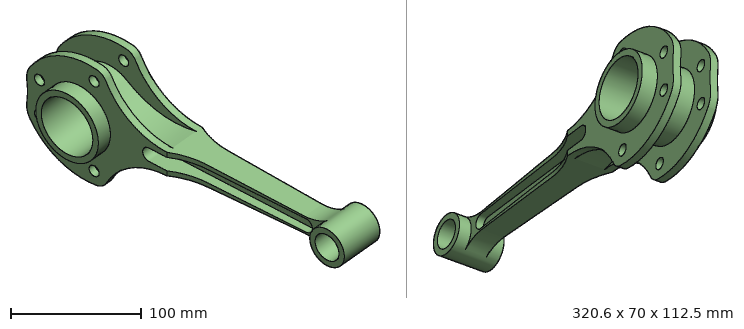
import cadquery as cq
import math


hub_radius = 63.0 / 2
hub_bore_radius = 52.0 / 2
hub_width = 70.0

center_distance = 250.0
boss_radius = 35.0 / 2
boss_bore_radius = 24.0 / 2
boss_width = 41.7

plate_outer_y = boss_width / 2
plate_inner_y = 13.8
plate_end_x = 88.5
plate_half_height = 112.5 / 2
crown_center_x = 8.0
crown_radius = 68.5
neck_radius = 69.0
rear_middle_x = -52.2
rear_corner_x = -54.0
front_corner_fillet = 12.8
rear_corner_fillet = 20.8
bolt_diameter = 10.0
bolt_points = [(-40.0, 17.0), (15.0, 43.0)]

web_contact_angle = math.radians(53.9)

arm_start_half_height = 22.8 / 2
arm_end_half_height = 16.5 / 2
flare_start_x = 218.5
blend_end_x = 122.7
blend_end_half_width = 24.0 / 2
arm_end_half_width = 9.5

slot_start_x = 64.0
slot_end_x = 226.0
slot_height = 12.8
slot_floor_y = 3.2

neck_center = (plate_end_x, arm_start_half_height + neck_radius)
crown_center = (crown_center_x, plate_half_height - crown_radius)


def slab(sketch, y_start, y_end):
    """Extrude a closed XZ outline between two Y positions."""
    return sketch.extrude(-(y_end - y_start)).translate((0, y_start, 0))


def cylinder(x, z, radius, width):
    """Cylinder along Y, centred on the XZ plane."""
    return slab(cq.Workplane("XZ").center(x, z).circle(radius), -width / 2, width / 2)


def point_on_circle(center, radius, angle):
    return (center[0] + radius * math.cos(angle), center[1] + radius * math.sin(angle))


def arc_middle(center, radius, start, end):
    """Point halfway along the shorter arc from start to end."""
    dx = (start[0] + end[0]) / 2 - center[0]
    dz = (start[1] + end[1]) / 2 - center[1]
    return point_on_circle(center, radius, math.atan2(dz, dx))


def mirrored(point):
    return (point[0], -point[1])


def crown_neck_corner():
    """Upper crossing of the convex crown arc and the concave neck arc."""
    dx = neck_center[0] - crown_center[0]
    dz = neck_center[1] - crown_center[1]
    distance = math.hypot(dx, dz)
    along = (distance**2 + crown_radius**2 - neck_radius**2) / (2 * distance)
    angle = math.atan2(dz, dx) + math.acos(along / crown_radius)
    return point_on_circle(crown_center, crown_radius, angle)


def flange_plate(y_start, y_end):
    neck_end = (plate_end_x, arm_start_half_height)
    front_corner = crown_neck_corner()
    crown_run = rear_corner_x - crown_center_x
    rear_corner = (rear_corner_x, crown_center[1] + math.sqrt(crown_radius**2 - crown_run**2))
    neck_middle = arc_middle(neck_center, neck_radius, neck_end, front_corner)
    crown_middle = arc_middle(crown_center, crown_radius, front_corner, rear_corner)
    outline = (
        cq.Workplane("XZ")
        .moveTo(*neck_end)
        .threePointArc(neck_middle, front_corner)
        .threePointArc(crown_middle, rear_corner)
        .threePointArc((rear_middle_x, 0), mirrored(rear_corner))
        .threePointArc(mirrored(crown_middle), mirrored(front_corner))
        .threePointArc(mirrored(neck_middle), mirrored(neck_end))
        .close()
    )
    plate = slab(outline, y_start, y_end)
    plate = plate.edges("|Y").edges("<X").fillet(rear_corner_fillet)
    for side in (1, -1):
        corner = (front_corner[0], y_start, side * front_corner[1])
        plate = plate.edges("|Y").edges(cq.NearestToPointSelector(corner)).fillet(front_corner_fillet)
    return plate


def web():
    """Wall between the plates, its concave sides tangent to the hub."""
    end = (plate_end_x, arm_start_half_height)
    end_distance = math.hypot(*end)
    contact = point_on_circle((0, 0), hub_radius, web_contact_angle)
    projection = end[0] * math.cos(web_contact_angle) + end[1] * math.sin(web_contact_angle)
    squares_sum = end_distance**2 - 2 * hub_radius * projection + hub_radius**2
    radius = squares_sum / (2 * (projection - hub_radius))
    center = point_on_circle((0, 0), hub_radius + radius, web_contact_angle)
    middle = arc_middle(center, radius, contact, end)
    outline = (
        cq.Workplane("XZ")
        .moveTo(*contact)
        .threePointArc(middle, end)
        .lineTo(*mirrored(end))
        .threePointArc(mirrored(middle), mirrored(contact))
        .close()
    )
    return slab(outline, -plate_inner_y, plate_inner_y)


def arm():
    """Height outline intersected with width outline."""
    start = (plate_end_x, arm_start_half_height)
    flare_start = (flare_start_x, arm_end_half_height)
    run = center_distance - flare_start_x
    flare_radius = (run**2 + arm_end_half_height**2 - boss_radius**2) / (
        2 * (boss_radius - arm_end_half_height)
    )
    flare_center = (flare_start_x, arm_end_half_height + flare_radius)
    share = boss_radius / (boss_radius + flare_radius)
    flare_end = (center_distance - run * share, flare_center[1] * share)
    flare_middle = arc_middle(flare_center, flare_radius, flare_start, flare_end)
    outline = (
        cq.Workplane("XZ")
        .moveTo(*start)
        .lineTo(*flare_start)
        .threePointArc(flare_middle, flare_end)
        .lineTo(center_distance, 0)
        .lineTo(*mirrored(flare_end))
        .threePointArc(mirrored(flare_middle), mirrored(flare_start))
        .lineTo(*mirrored(start))
        .close()
    )
    height_body = slab(outline, -plate_outer_y, plate_outer_y)

    wide = (plate_end_x, plate_outer_y)
    blend_end = (blend_end_x, blend_end_half_width)
    far = (center_distance, arm_end_half_width)
    blend_run = blend_end_x - plate_end_x
    blend_rise = plate_outer_y - blend_end_half_width
    blend_radius = (blend_run**2 + blend_rise**2) / (2 * blend_rise)
    blend_center = (blend_end_x, blend_end_half_width + blend_radius)
    blend_middle = arc_middle(blend_center, blend_radius, wide, blend_end)
    width_body = (
        cq.Workplane("XY")
        .moveTo(*wide)
        .threePointArc(blend_middle, blend_end)
        .lineTo(*far)
        .lineTo(*mirrored(far))
        .lineTo(*mirrored(blend_end))
        .threePointArc(mirrored(blend_middle), mirrored(wide))
        .close()
        .extrude(boss_radius, both=True)
    )
    return height_body.intersect(width_body)


def side_slot(y_start, y_end):
    length = slot_end_x - slot_start_x
    outline = cq.Workplane("XZ").center(slot_start_x + length / 2, 0).slot2D(length, slot_height)
    return slab(outline, y_start, y_end)


result = (
    cylinder(0, 0, hub_radius, hub_width)
    .union(web())
    .union(arm())
    .union(cylinder(center_distance, 0, boss_radius, boss_width))
    .union(flange_plate(plate_inner_y, plate_outer_y))
    .union(flange_plate(-plate_outer_y, -plate_inner_y))
)

result = result.cut(side_slot(slot_floor_y, plate_outer_y))
result = result.cut(side_slot(-plate_outer_y, -slot_floor_y))

result = result.cut(cylinder(0, 0, hub_bore_radius, hub_width))
result = result.cut(cylinder(center_distance, 0, boss_bore_radius, boss_width))
for bolt_x, bolt_z in bolt_points:
    for side in (1, -1):
        result = result.cut(cylinder(bolt_x, side * bolt_z, bolt_diameter / 2, hub_width))